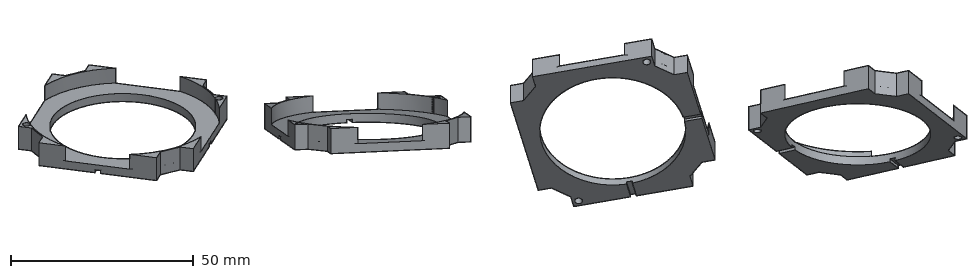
import cadquery as cq

width = 49.8
height = 7.0
floor_height = 2.5
bore_diameter = 40.0
recess_diameter = 53.05
side_length = 33.55
corner_leg = 3.75
pin_diameter = 2.1
pin_x = 23.1
pin_y = 15.0
notch_width = 1.6
notch_height = 0.9

half_width = width / 2
half_side = side_length / 2
step = half_width - corner_leg


def frame_blank():
    """Square block whose corners are cut back by two steps and a slanted face."""
    quadrant = [
        (half_width, half_side),
        (step, half_side),
        (half_side, step),
        (half_side, half_width),
    ]
    points = []
    for _ in range(4):
        points += quadrant
        quadrant = [(-y, x) for x, y in quadrant]
    return cq.Workplane("XY").polyline(points).close().extrude(height)


def recess():
    """Round seat cut down from the top to the floor of the ring."""
    return (
        cq.Workplane("XY")
        .workplane(offset=floor_height)
        .circle(recess_diameter / 2)
        .extrude(height - floor_height)
    )


def bore():
    return cq.Workplane("XY").circle(bore_diameter / 2).extrude(height)


def pin_holes():
    """Through holes in two diagonally opposite corners."""
    return (
        cq.Workplane("XY")
        .pushPoints([(pin_x, pin_y), (-pin_x, -pin_y)])
        .circle(pin_diameter / 2)
        .extrude(height)
    )


def notch(angle):
    """Groove in the underside from the bore to the outer side at the given angle."""
    return (
        cq.Workplane("XY")
        .box(half_width, notch_width, notch_height, centered=(False, True, False))
        .rotate((0, 0, 0), (0, 0, 1), angle)
    )


result = frame_blank().cut(recess()).cut(bore()).cut(pin_holes())

for angle in (0, -90):
    result = result.cut(notch(angle))